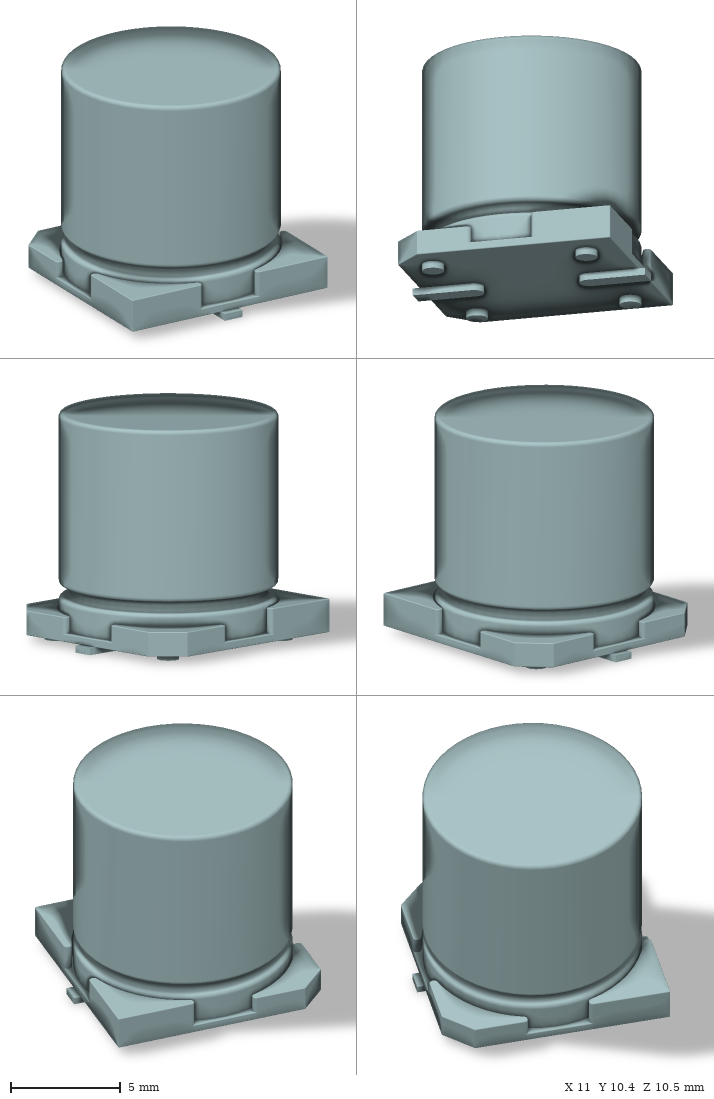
import cadquery as cq
import math

overall_length = 11.0
overall_height = 10.5
base_width = 10.4

base_bottom = 0.33
floor_top = 0.7
low_post_top = 1.47
tall_post_top = 1.88
corner_cut = 1.25
gap_width = 2.88
post_corner_radius = 0.16
base_edge_radius = 0.04

can_diameter = 10.0
can_radius = can_diameter / 2
can_clearance = 0.07
can_edge_radius = 0.2
groove_diameter = 9.0
groove_radius = groove_diameter / 2
groove_corner_radius = 0.2
groove_center = 2.31
groove_wall_height = 0.14

lead_width = 0.94
lead_gap = 4.54
foot_diameter = 1.0
foot_spacing = 7.26

tolerance = 0.01


def block(size_x, size_y, bottom, top):
    """Box centred on the can axis between two heights."""
    return cq.Workplane("XY").workplane(offset=bottom).rect(size_x, size_y).extrude(top - bottom)


def base_block():
    """Full-height base with its two -X corners cut off and the low side trimmed."""
    body = block(base_width, base_width, base_bottom, tall_post_top)
    body = body.edges("|Z and <X").chamfer(corner_cut)
    low_side = block(base_width, base_width, low_post_top, tall_post_top)
    return body.cut(low_side.translate((-base_width / 2, 0, 0)))


def post_opening():
    """Space between the posts: a round seat for the can and a gap at each side."""
    depth = tall_post_top - floor_top
    seat = cq.Workplane("XY").workplane(offset=floor_top).circle(can_radius + can_clearance).extrude(depth)
    gap_along_x = block(base_width, gap_width, floor_top, tall_post_top)
    gap_along_y = block(gap_width, base_width, floor_top, tall_post_top)
    return seat.union(gap_along_x).union(gap_along_y)


def nearer_axis_distance(edge):
    """Smaller of the distances of an edge's centre from the X and Y mid-planes."""
    center = edge.Center()
    return min(abs(center.x), abs(center.y))


def farther_axis_distance(edge):
    """Larger of the distances of an edge's centre from the X and Y mid-planes."""
    center = edge.Center()
    return max(abs(center.x), abs(center.y))


def is_gap_side(edge):
    return math.isclose(nearer_axis_distance(edge), gap_width / 2)


def is_plate_corner(edge):
    return nearer_axis_distance(edge) > base_width / 2 - corner_cut - tolerance


def is_floor_rim(edge):
    on_outer_side = math.isclose(farther_axis_distance(edge), base_width / 2)
    return on_outer_side and math.isclose(edge.Center().z, floor_top)


def is_post_top(face):
    return face.Center().z > floor_top + tolerance


def base():
    """Base with rounded post corners and lightly rounded outer edges."""
    body = base_block().cut(post_opening())
    body = body.edges("|Z").filter(is_gap_side).fillet(post_corner_radius)

    post_tops = body.faces("+Z").filter(is_post_top).edges()
    corners = body.edges("|Z").filter(is_plate_corner)
    floor_rim = body.edges("#Z").filter(is_floor_rim)
    underside = body.faces("<Z").edges()
    outer_edges = post_tops.add(corners).add(floor_rim).add(underside)
    return outer_edges.fillet(base_edge_radius)


def quarter_round(start, end, corner):
    """Middle and end points of a quarter circle that rounds off a square corner."""
    center = (start[0] + end[0] - corner[0], start[1] + end[1] - corner[1])
    middle = tuple(c + (k - c) * math.sqrt(0.5) for c, k in zip(center, corner))
    return middle, end


def can():
    """Can turned about Z; each side of the groove is an S of two quarter rounds."""
    rim_inner = can_radius - can_edge_radius
    groove_outer = groove_radius + groove_corner_radius
    wall_bottom = (groove_radius, groove_center - groove_wall_height / 2)
    wall_top = (groove_radius, groove_center + groove_wall_height / 2)
    lower_rim = wall_bottom[1] - groove_corner_radius
    upper_rim = wall_top[1] + groove_corner_radius
    lower_ledge = (groove_outer, lower_rim)
    upper_ledge = (groove_outer, upper_rim)
    skirt_top = (can_radius, lower_rim - can_edge_radius)
    shell_bottom = (can_radius, upper_rim + can_edge_radius)
    shell_top = (can_radius, overall_height - can_edge_radius)

    profile = (
        cq.Workplane("XZ")
        .moveTo(0, floor_top)
        .lineTo(can_radius, floor_top)
        .lineTo(*skirt_top)
        .threePointArc(*quarter_round(skirt_top, (rim_inner, lower_rim), (can_radius, lower_rim)))
        .lineTo(*lower_ledge)
        .threePointArc(*quarter_round(lower_ledge, wall_bottom, (groove_radius, lower_rim)))
        .lineTo(*wall_top)
        .threePointArc(*quarter_round(wall_top, upper_ledge, (groove_radius, upper_rim)))
        .lineTo(rim_inner, upper_rim)
        .threePointArc(*quarter_round((rim_inner, upper_rim), shell_bottom, (can_radius, upper_rim)))
        .lineTo(*shell_top)
        .threePointArc(*quarter_round(shell_top, (rim_inner, overall_height), (can_radius, overall_height)))
        .lineTo(0, overall_height)
        .close()
    )
    return profile.revolve(360, (0, 0, 0), (0, 1, 0))


def lead(side):
    """Flat lead reaching out along X on one side, with a round inner end."""
    end_radius = lead_width / 2
    tip = side * lead_gap / 2
    end_center = tip + side * end_radius
    outer = side * overall_length / 2
    return (
        cq.Workplane("XY")
        .moveTo(outer, -end_radius)
        .lineTo(end_center, -end_radius)
        .threePointArc((tip, 0), (end_center, end_radius))
        .lineTo(outer, end_radius)
        .close()
        .extrude(base_bottom)
    )


def feet():
    """Four round feet under the base."""
    return (
        cq.Workplane("XY")
        .rect(foot_spacing, foot_spacing, forConstruction=True)
        .vertices()
        .circle(foot_diameter / 2)
        .extrude(base_bottom)
    )


result = base().union(can()).union(feet())
for side in (-1, 1):
    result = result.union(lead(side))